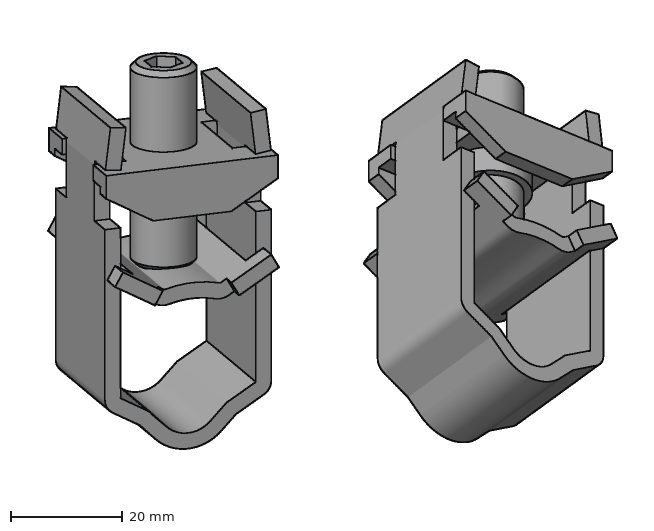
import cadquery as cq
import math


cut_margin = 1.0
sheet = 3.0

frame_width = 25.0
frame_half_depth = 16.0
neck_width = 14.3
neck_base_z = 43.4
lip_bend_z = 54.0
lip_angle = 7.0
lip_length = 8.65
floor_angle = 30.0
floor_corner_z = 11.12
trough_angle = 45.0
trough_radius = 9.0

bridge_length = 29.0
bridge_depth = 33.0
bridge_top_z = 54.3
bridge_edge_height = 4.4
bridge_bottom_depth = 15.0
bridge_slope = 30.0
notch_width = 15.7
notch_floor_y = 10.25
collar_diameter = 15.0
collar_drop = 5.0

screw_diameter = 12.0
screw_top_z = 69.4
screw_bottom_z = 31.5
screw_chamfer = 1.0
socket_sides = 6
socket_across_flats = 6.0
socket_depth = 6.0

plate_width = 29.0
wing_span = 34.0
wing_gap = 26.0
wing_angle = 30.0
wing_start_y = 6.6
plate_end_y = 10.83
wing_tip_y = 14.25
crest_z = 32.1
bend_center_y = 5.3
bend_inner_radius = 0.5


def sine(angle):
    return math.sin(math.radians(angle))


def cosine(angle):
    return math.cos(math.radians(angle))


def tangent(angle):
    return math.tan(math.radians(angle))


def polar(center, radius, angle):
    """Point at an angle measured from straight down towards +Y."""
    return (center[0] + radius * sine(angle), center[1] - radius * cosine(angle))


def with_mirror_image(half):
    """Join a half that lies on the +Y side to its mirror image."""
    return half.union(half.mirror("XZ")).clean()


def make_frame():
    inner_y = frame_half_depth - sheet
    strap_corner = (inner_y, floor_corner_z)
    trough_center = (0, trough_radius)
    trough_end = polar(trough_center, trough_radius, trough_angle)
    trough_inner_radius = trough_radius - sheet
    trough_inner_end = polar(trough_center, trough_inner_radius, trough_angle)

    floor_line = floor_corner_z - sheet / cosine(floor_angle) - inner_y * tangent(floor_angle)
    side_line = trough_end[1] - trough_end[0] * tangent(trough_angle)
    outer_y = (floor_line - side_line) / (tangent(trough_angle) - tangent(floor_angle))
    outer_corner = (outer_y, side_line + outer_y * tangent(trough_angle))
    mitre_angle = (floor_angle + trough_angle) / 2
    mitre_length = sheet / cosine((trough_angle - floor_angle) / 2)
    inner_corner = polar(outer_corner, -mitre_length, mitre_angle)

    lip_inner_bend = (inner_y, lip_bend_z - sheet * tangent(lip_angle / 2))
    lip_outer_top = (
        frame_half_depth - lip_length * sine(lip_angle),
        lip_bend_z + lip_length * cosine(lip_angle),
    )
    lip_inner_top = (
        lip_outer_top[0] - sheet * cosine(lip_angle),
        lip_outer_top[1] - sheet * sine(lip_angle),
    )

    half = (
        cq.Workplane("YZ")
        .moveTo(0, 0)
        .threePointArc(polar(trough_center, trough_radius, trough_angle / 2), trough_end)
        .lineTo(*outer_corner)
        .lineTo(*polar(strap_corner, sheet, floor_angle))
        .threePointArc(
            polar(strap_corner, sheet, (90 + floor_angle) / 2),
            (frame_half_depth, floor_corner_z),
        )
        .lineTo(frame_half_depth, lip_bend_z)
        .lineTo(*lip_outer_top)
        .lineTo(*lip_inner_top)
        .lineTo(*lip_inner_bend)
        .lineTo(*strap_corner)
        .lineTo(*inner_corner)
        .lineTo(*trough_inner_end)
        .threePointArc(
            polar(trough_center, trough_inner_radius, trough_angle / 2),
            (0, sheet),
        )
        .close()
        .extrude(frame_width / 2, both=True)
    )

    cut_outer_y = frame_half_depth + cut_margin
    cut_inner_y = inner_y - cut_margin
    lip_shoulder = (bridge_top_z - lip_bend_z + sheet * sine(lip_angle)) / cosine(lip_angle)
    shoulder_y = frame_half_depth - lip_shoulder * sine(lip_angle)
    shoulder_z = lip_bend_z + lip_shoulder * cosine(lip_angle)
    lean = tangent(lip_angle)
    side_width = (frame_width - neck_width) / 2
    beside_neck = (
        cq.Workplane("YZ", origin=(neck_width / 2, 0, 0))
        .moveTo(cut_outer_y, neck_base_z)
        .lineTo(cut_outer_y, shoulder_z + (cut_outer_y - shoulder_y) * lean)
        .lineTo(cut_inner_y, shoulder_z + (cut_inner_y - shoulder_y) * lean)
        .lineTo(cut_inner_y, neck_base_z)
        .close()
        .extrude(side_width + cut_margin)
    )
    half = half.cut(beside_neck).cut(beside_neck.mirror("YZ"))
    return with_mirror_image(half)


def make_bridge(screw_blank):
    half_depth = bridge_depth / 2
    edge_z = bridge_top_z - bridge_edge_height
    slope_run = (bridge_depth - bridge_bottom_depth) / 2
    bottom_z = edge_z - slope_run * tangent(bridge_slope)
    underside_z = bridge_top_z - sheet
    bridge = (
        cq.Workplane("YZ")
        .polyline([
            (-half_depth, bridge_top_z),
            (half_depth, bridge_top_z),
            (half_depth, edge_z),
            (bridge_bottom_depth / 2, bottom_z),
            (-bridge_bottom_depth / 2, bottom_z),
            (-half_depth, edge_z),
        ])
        .close()
        .extrude(bridge_length / 2, both=True)
    )
    channel_height = underside_z - bottom_z
    channel = (
        cq.Workplane("XY", origin=(0, 0, bottom_z))
        .rect(bridge_length - 2 * sheet, bridge_depth)
        .extrude(channel_height)
    )
    bridge = bridge.cut(channel)

    collar = (
        cq.Workplane("XY", origin=(0, 0, underside_z))
        .circle(collar_diameter / 2)
        .extrude(-collar_drop)
    )
    bridge = bridge.union(collar)

    notch_depth = half_depth - notch_floor_y
    for side in (-1, 1):
        notch_center_y = side * (notch_floor_y + notch_depth / 2)
        notch = (
            cq.Workplane("XY", origin=(0, notch_center_y, underside_z))
            .rect(notch_width, notch_depth)
            .extrude(sheet)
        )
        bridge = bridge.cut(notch)
    return bridge.cut(screw_blank)


def make_screw_blank():
    """Screw without its socket, also used to cut its hole and its seat."""
    return (
        cq.Workplane("XY", origin=(0, 0, screw_bottom_z))
        .circle(screw_diameter / 2)
        .extrude(screw_top_z - screw_bottom_z)
        .edges("%CIRCLE")
        .chamfer(screw_chamfer)
    )


def make_screw(blank):
    across_corners = socket_across_flats / math.cos(math.pi / socket_sides)
    socket = (
        cq.Workplane("XY", origin=(0, 0, screw_top_z))
        .polygon(socket_sides, across_corners)
        .extrude(-socket_depth)
    )
    return blank.cut(socket)


def make_pressure_plate(screw_blank):
    wing_start = (wing_start_y, crest_z)
    bend_outer_radius = bend_inner_radius + sheet
    bend_rise = (
        bend_inner_radius / cosine(wing_angle)
        - (wing_start_y - bend_center_y) * tangent(wing_angle)
    )
    bend_center = (bend_center_y, crest_z + bend_rise)
    arch_radius = (
        (bend_center_y**2 + bend_rise**2 - bend_inner_radius**2)
        / (2 * (bend_inner_radius - bend_rise))
    )
    arch_lower_radius = arch_radius - sheet
    arch_center = (0, crest_z - arch_radius)
    arch_angle = math.degrees(math.asin(bend_center_y / (arch_radius + bend_inner_radius)))
    bend_middle_angle = (wing_angle - arch_angle) / 2

    arched_half = (
        cq.Workplane("YZ")
        .moveTo(0, crest_z)
        .threePointArc(
            polar(arch_center, -arch_radius, -arch_angle / 2),
            polar(arch_center, -arch_radius, -arch_angle),
        )
        .threePointArc(
            polar(bend_center, bend_inner_radius, bend_middle_angle),
            polar(bend_center, bend_inner_radius, wing_angle),
        )
        .lineTo(*wing_start)
        .lineTo(*polar(wing_start, sheet, wing_angle))
        .lineTo(*polar(bend_center, bend_outer_radius, wing_angle))
        .threePointArc(
            polar(bend_center, bend_outer_radius, bend_middle_angle),
            polar(bend_center, bend_outer_radius, -arch_angle),
        )
        .threePointArc(
            polar(arch_center, -arch_lower_radius, -arch_angle / 2),
            (0, crest_z - sheet),
        )
        .close()
        .extrude(plate_width / 2, both=True)
    )

    slope_plane = cq.Plane(
        origin=(0, wing_start_y, crest_z),
        xDir=(1, 0, 0),
        normal=(0, -sine(wing_angle), cosine(wing_angle)),
    )
    end_length = (wing_tip_y - wing_start_y) / cosine(wing_angle)
    web_length = (plate_end_y - wing_start_y) / cosine(wing_angle)
    wings = (
        cq.Workplane(slope_plane)
        .polyline([
            (-wing_span / 2, 0),
            (wing_span / 2, 0),
            (wing_span / 2, end_length),
            (wing_gap / 2, end_length),
            (wing_gap / 2, web_length),
            (-wing_gap / 2, web_length),
            (-wing_gap / 2, end_length),
            (-wing_span / 2, end_length),
        ])
        .close()
        .extrude(-sheet)
    )
    return with_mirror_image(arched_half.union(wings)).cut(screw_blank)


screw_blank = make_screw_blank()
frame = make_frame()
bridge = make_bridge(screw_blank)
screw = make_screw(screw_blank)
pressure_plate = make_pressure_plate(screw_blank)

result = cq.Compound.makeCompound([
    frame.val(),
    bridge.val(),
    screw.val(),
    pressure_plate.val(),
])